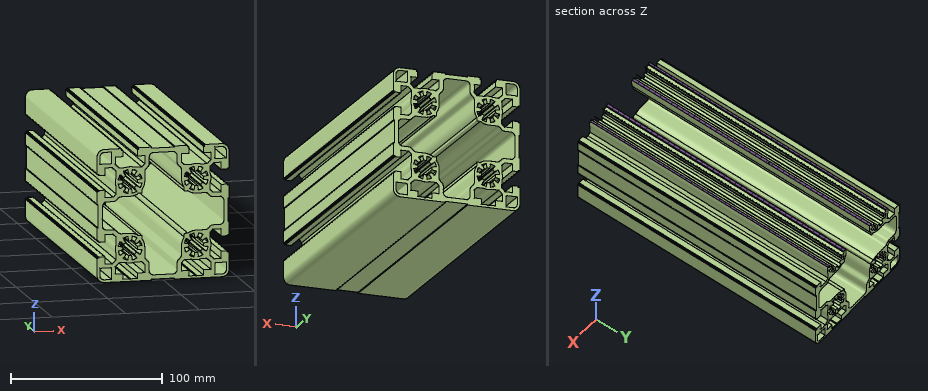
import cadquery as cq
import math

length = 200.0
size = 90.0
side_count = 4
half = size / 2
cell = size / 2
slot_offset = cell / 2
wall = 3.0

corner_radius = 5.0
groove_depth = 0.7
groove_half_width = 7.8

slot_half_width = 5.0
slot_mouth_half_width = 5.7
slot_mouth_depth = 1.2
slot_mouth_chamfer = 0.4
slot_lip = 5.5
slot_depth = 13.0
pocket_half_width = 10.0
cavity_side_chamfer = 2.0
corner_side_chamfer = 2.6
closed_skin = 1.8
mark_depth = 0.4
mark_half_width = 0.4

hollow_start = 2.0
hollow_end = 9.9
hollow_radius = corner_radius - hollow_start
hollow_inner_radius = 0.8

boss_radius = 10.0
bore_root_radius = 8.15
bore_tip_radius = 5.0
tooth_count = 8
tooth_tip_half_width = 1.0
tooth_root_half_width = 1.6
ridge_reach = 8.2
ridge_radius = 0.5

cavity_end = half - groove_depth - wall
arm_half_width = slot_offset - pocket_half_width - wall
core_half_width = slot_offset - boss_radius
arm_radius = 3.0
bend_radius = 3.0

pocket_corner_x = slot_offset - pocket_half_width
bend_sum = pocket_corner_x + half - slot_depth + cavity_side_chamfer - wall * math.sqrt(2)


def bar(x0, x1, z0, z1):
    """Full-length rectangular bar between the given section limits."""
    return cq.Workplane("XY").box(x1 - x0, length, z1 - z0, centered=False).translate((x0, -length / 2, z0))


def rod(x, z, radius):
    """Full-length round bar centred on (x, z)."""
    return section().center(x, z).circle(radius).extrude(length)


def section():
    """Workplane on the +Y end, extruding towards -Y, with local axes X and Z."""
    return cq.Workplane("XZ", origin=(0, length / 2, 0))


def fillet_edge(shape, x, z, radius):
    """Round the lengthwise edge that runs through (x, z)."""
    return shape.edges(cq.selectors.NearestToPointSelector((x, 0, z))).fillet(radius)


def turn(shape, quarter_turns):
    """Rotate a shape about the profile axis."""
    return shape.rotate((0, 0, 0), (0, 1, 0), 360 / side_count * quarter_turns)


def mirror_x(shape):
    return shape.mirror("YZ")


def make_pocket():
    """Wide inner part of the right-hand slot of the top face, round the boss."""
    left = slot_offset - pocket_half_width
    right = slot_offset + pocket_half_width
    floor = half - slot_depth
    pocket = bar(left, right, floor, half - slot_lip)
    pocket = pocket.edges("|Y and <X and <Z").chamfer(cavity_side_chamfer)
    pocket = pocket.edges("|Y and >X and <Z").chamfer(corner_side_chamfer)
    return pocket.cut(rod(slot_offset, slot_offset, boss_radius))


def make_open_slot():
    """T-slot with a stepped, chamfered mouth."""
    step = half - slot_mouth_depth
    chamfer_half_width = slot_mouth_half_width + slot_mouth_chamfer
    profile = [
        (slot_half_width, half - slot_lip),
        (slot_half_width, step),
        (slot_mouth_half_width, step),
        (slot_mouth_half_width, half - slot_mouth_chamfer),
        (chamfer_half_width, half),
    ]
    mirrored = [(-x, z) for x, z in reversed(profile)]
    mouth = section().center(slot_offset, 0).polyline(profile + mirrored).close().extrude(length)
    return make_pocket().union(mouth)


def make_closed_slot():
    """T-slot that stops under a thin skin, with a V mark in the skin."""
    skin = half - closed_skin
    profile = [
        (slot_half_width, half - slot_lip),
        (slot_half_width, skin),
        (mark_half_width, skin),
        (0, skin + mark_depth),
        (-mark_half_width, skin),
        (-slot_half_width, skin),
        (-slot_half_width, half - slot_lip),
    ]
    neck = section().center(slot_offset, 0).polyline(profile).close().extrude(length)
    return make_pocket().union(neck)


def make_corner_hollow():
    """Hollow in the top right corner of the profile."""
    outer = half - hollow_start
    inner = half - hollow_end
    hollow = bar(inner, outer, inner, outer)
    hollow = hollow.edges("|Y and >X and >Z").fillet(hollow_radius)
    return hollow.edges("|Y and <X and <Z").fillet(hollow_inner_radius)


def make_bore():
    """Bore of the top right boss, with teeth pointing inwards."""
    bore = rod(0, 0, bore_root_radius)
    tooth_outline = [
        (bore_tip_radius, -tooth_tip_half_width),
        (bore_tip_radius, tooth_tip_half_width),
        (bore_root_radius, tooth_root_half_width),
        (bore_root_radius, -tooth_root_half_width),
    ]
    tooth = section().polyline(tooth_outline).close().extrude(length)
    for i in range(tooth_count):
        bore = bore.cut(tooth.rotate((0, 0, 0), (0, 1, 0), i * 360 / tooth_count))
    return bore.translate((slot_offset, 0, slot_offset))


def make_arm():
    """Upper arm of the cavity, narrowing between the slot pockets."""
    right_side = [
        (core_half_width, 0),
        (core_half_width, bend_sum - core_half_width),
        (arm_half_width, bend_sum - arm_half_width),
        (arm_half_width, cavity_end),
    ]
    left_side = [(-x, z) for x, z in reversed(right_side)]
    arm = section().polyline(right_side + left_side).close().extrude(length)
    arm = arm.edges("|Y and >Z").fillet(arm_radius)

    for side in (-1, 1):
        arm = fillet_edge(arm, side * core_half_width, bend_sum - core_half_width, bend_radius)
        arm = fillet_edge(arm, side * arm_half_width, bend_sum - arm_half_width, bend_radius)
    return arm


def make_cavity():
    """Central cross-shaped cavity, leaving the bosses and their ridges."""
    cavity = bar(-slot_offset, slot_offset, -slot_offset, slot_offset)
    ridge_inner = slot_offset - ridge_reach
    keep = rod(slot_offset, slot_offset, boss_radius)
    ridge = bar(ridge_inner, slot_offset, ridge_inner, slot_offset)
    keep = keep.union(fillet_edge(ridge, ridge_inner, ridge_inner, ridge_radius))
    for i in range(side_count):
        cavity = cavity.cut(turn(keep, i))
    for i in range(side_count):
        cavity = cavity.union(turn(make_arm(), i))
    return cavity


body = bar(-half, half, -half, half).edges("|Y").fillet(corner_radius)
body = body.cut(make_cavity())

groove = bar(-groove_half_width, groove_half_width, half - groove_depth, half)
hollow = make_corner_hollow()
bore = make_bore()
for i in range(side_count):
    body = body.cut(turn(groove, i)).cut(turn(hollow, i)).cut(turn(bore, i))

open_slot = make_open_slot()
closed_slot = make_closed_slot()
bottom = 2
for i in range(side_count):
    slot = closed_slot if i == bottom else open_slot
    body = body.cut(turn(slot, i)).cut(turn(mirror_x(slot), i))

result = body